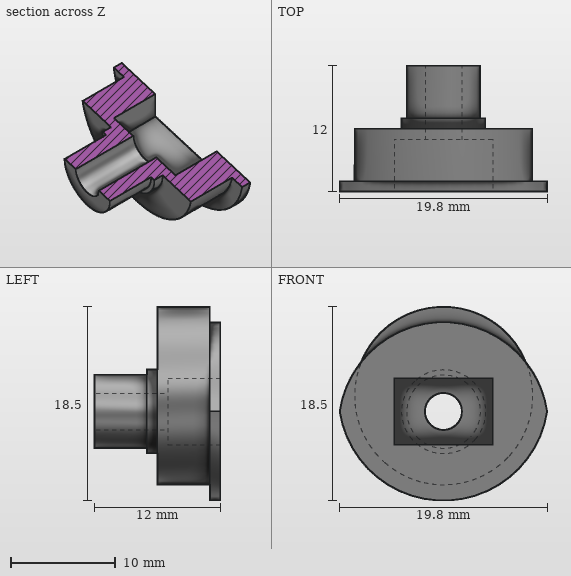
import cadquery as cq
import math

lens_radius = 10.0
lens_offset = 1.5
flange_thickness = 1.0

body_diameter = 16.95
body_offset = lens_offset
body_length = 5.0

collar_diameter = 8.0
collar_length = 1.0
spigot_diameter = 7.0
spigot_length = 5.0

pocket_width = 9.4
pocket_height = 6.3
pocket_depth = 5.0
bore_diameter = 3.5

body_start = flange_thickness
collar_start = body_start + body_length
spigot_start = collar_start + collar_length
total_length = spigot_start + spigot_length


def face_plane(y):
    """Sketch plane at the given Y, with local x = X, local y = Z and normal -Y."""
    return cq.Workplane("XZ", origin=(0, y, 0))


def disc(radius, y, length, z=0.0):
    """Cylinder along +Y that starts at y, with its axis at height z."""
    return face_plane(y).center(0, z).circle(radius).extrude(-length)


def flange():
    half_width = math.sqrt(lens_radius**2 - lens_offset**2)
    half_height = lens_radius - lens_offset
    return (
        face_plane(0)
        .moveTo(-half_width, 0)
        .threePointArc((0, half_height), (half_width, 0))
        .threePointArc((0, -half_height), (-half_width, 0))
        .close()
        .extrude(-flange_thickness)
    )


def pocket():
    return face_plane(0).rect(pocket_width, pocket_height).extrude(-pocket_depth)


body = disc(body_diameter / 2, body_start, body_length, body_offset)
collar = disc(collar_diameter / 2, collar_start, collar_length)
spigot = disc(spigot_diameter / 2, spigot_start, spigot_length)
bore = disc(bore_diameter / 2, 0, total_length)

result = flange().union(body).union(collar).union(spigot).cut(pocket()).cut(bore)